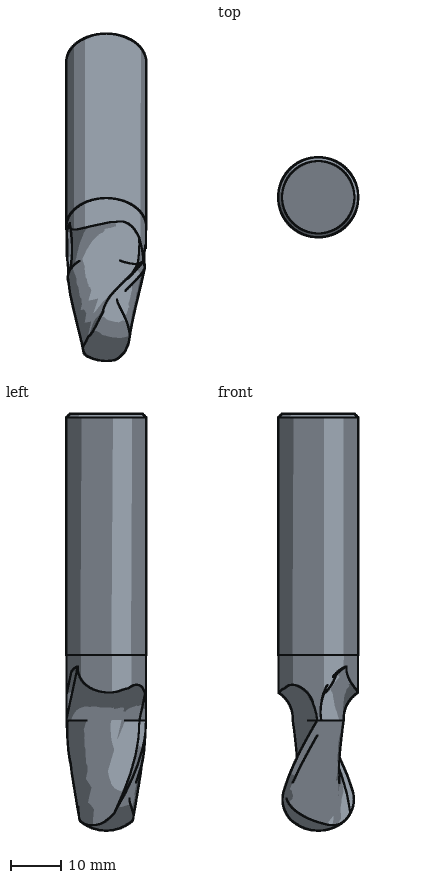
import cadquery as cq
import math


shank_diameter = 16.0
shank_length = 48.0
shank_chamfer = 0.8

cutter_radius = 7.95
cutter_length = 35.0
flute_length = 22.0
helix_angle = 30.0
tooth_spacing = 180.0
twist = math.degrees(flute_length * math.tan(math.radians(helix_angle)) / cutter_radius)

edge_offset = 0.2
cutting_edge = (-edge_offset, -math.sqrt(cutter_radius**2 - edge_offset**2))
land_end = (1.5, -7.65)
flank_middle = (4.65, -4.3)
flank_end = (4.3, 1.1)
flute_bottom = (2.85, 3.1)
rake_middle = (1.0, 4.8)
rake_tip = (-0.1, 6.6)

section_half_width = 4.85
runout_radius = 6.7
runout_axis_x = section_half_width + runout_radius
runout_tilt = 12.0
runout_swing = 90.0
runout_lip = (0.6, -7.95)
runout_outer = 9.0


def opposite(point):
    """The same point after half a turn about the tool axis."""
    return (-point[0], -point[1])


def draw_flute_side(outline, turned=lambda point: point):
    """Continue an outline over the land end, flank, flute bottom and rake face to the next cutting edge."""
    return (
        outline.lineTo(*turned(land_end))
        .threePointArc(turned(flank_middle), turned(flank_end))
        .lineTo(*turned(flute_bottom))
        .threePointArc(turned(rake_middle), turned(rake_tip))
        .lineTo(*turned(opposite(cutting_edge)))
    )


def make_fluted_section():
    """The two-tooth section, twisted along the helix."""
    outline = cq.Workplane("XY").transformed(rotate=(0, 0, -twist)).moveTo(*cutting_edge)
    outline = draw_flute_side(outline)
    outline = draw_flute_side(outline, opposite)
    return outline.close().twistExtrude(flute_length, twist)


def make_ball_nose_envelope():
    """Outer shape of the fluted length: a cylinder with a hemispherical tip."""
    ball = cq.Workplane("XY").sphere(cutter_radius).translate((0, 0, cutter_radius))
    barrel = cq.Workplane("XY").workplane(offset=cutter_radius).circle(cutter_radius)
    return ball.union(barrel.extrude(flute_length - cutter_radius))


def make_runout():
    """Space swept by the +X flute profile as it swings up and out of the neck."""
    profile = cq.Workplane("XY").workplane(offset=flute_length).moveTo(*runout_lip)
    profile = (
        draw_flute_side(profile)
        .lineTo(edge_offset, runout_outer)
        .lineTo(runout_outer, runout_outer)
        .lineTo(runout_outer, -runout_outer)
        .lineTo(runout_lip[0], -runout_outer)
        .close()
    )
    tilt = math.radians(runout_tilt)
    axis_start = cq.Vector(runout_axis_x, 0, flute_length)
    axis_end = axis_start + cq.Vector(0, math.cos(tilt), -math.sin(tilt))
    return cq.Workplane(cq.Solid.revolve(profile.wire().val(), [], runout_swing, axis_start, axis_end))


def make_neck():
    """Round neck above the flutes, with a run-out at the top of each flute."""
    neck = cq.Workplane("XY").workplane(offset=flute_length)
    neck = neck.circle(cutter_radius).extrude(cutter_length - flute_length)
    runout = make_runout()
    for angle in (0, tooth_spacing):
        neck = neck.cut(runout.rotate((0, 0, 0), (0, 0, 1), angle))
    return neck


def make_cutter():
    flutes = make_fluted_section().intersect(make_ball_nose_envelope())
    return flutes.union(make_neck())


def make_shank():
    shank = cq.Workplane("XY").workplane(offset=cutter_length)
    shank = shank.circle(shank_diameter / 2).extrude(shank_length)
    return shank.faces(">Z").chamfer(shank_chamfer)


cutter = make_cutter().solids()
shank = make_shank().solids()
result = cq.Compound.makeCompound([cutter.val(), shank.val()])